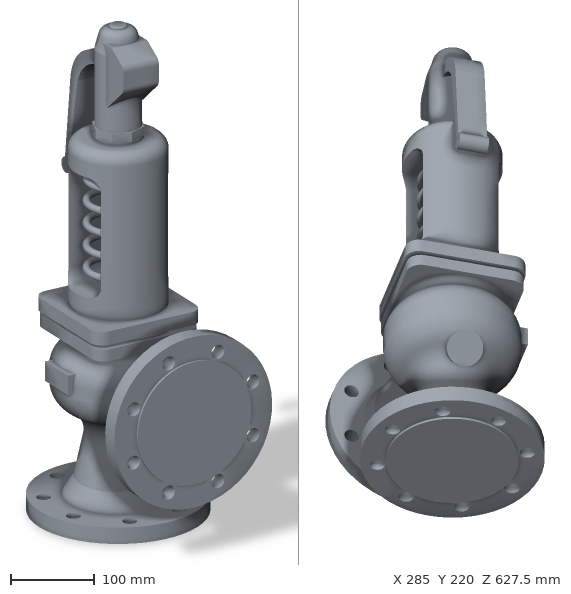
import cadquery as cq
import math


FLANGE_DIA = 220.0
FLANGE_THICKNESS = 21.0
RAISED_FACE_DIA = 158.0
RAISED_FACE_HEIGHT = 3.0
BOLT_CIRCLE_DIA = 180.0
BOLT_HOLE_DIA = 18.0
BOLT_COUNT = 8
FLANGE_HEIGHT = RAISED_FACE_HEIGHT + FLANGE_THICKNESS
HUB_RADIUS = 68.0

INLET_FLARE_Z = 47.0
INLET_FLARE_RADIUS = 53.5
INLET_THROAT_Z = 100.0
INLET_THROAT_RADIUS = 42.0
INLET_TAPER = (INLET_FLARE_RADIUS - INLET_THROAT_RADIUS) / (INLET_THROAT_Z - INLET_FLARE_Z)

OUTLET_AXIS_Z = 175.0
OUTLET_FACE_X = 175.0
OUTLET_FLARE_X = 133.0
OUTLET_FLARE_RADIUS = 60.0
OUTLET_TAPER = 0.185

BOWL_RADIUS = 82.5
BOWL_BAND_BOTTOM_Z = 171.0
BOWL_BAND_TOP_Z = 188.0
BOWL_LOWER_ARC = 40.0
BOWL_UPPER_ARC = 35.0
NECK_RADIUS = 63.5
NECK_BOTTOM_Z = 223.0
NECK_TOP_Z = 226.6
NECK_TOP_ARC = 5.0

PAD_WIDTH = 53.0
PAD_HEIGHT = 25.0
PAD_CENTER_Z = 189.5
PAD_FACE_Y = -86.0
DRAIN_DIA = 44.0
DRAIN_CENTER_X = -58.0
DRAIN_CENTER_Z = 128.0
DRAIN_TILT = math.radians(48.0)
DRAIN_LENGTH = 40.0

BODY_PLATE_X = 148.0
BODY_PLATE_Y = 144.0
BONNET_PLATE_SIDE = 148.0
PLATE_CORNER_RADIUS = 17.5
BODY_PLATE_BOTTOM_Z = NECK_TOP_Z + NECK_TOP_ARC
BODY_PLATE_TOP_Z = 247.0
JOINT_FACE_Z = 250.0
JOINT_FACE_RADIUS = 71.0
BONNET_PLATE_BOTTOM_Z = 252.5
BONNET_PLATE_TOP_Z = 270.0
JOINT_SPIGOT_RADIUS = 68.0

BONNET_RADIUS = 60.0
BONNET_TOP_Z = 483.5
BONNET_TOP_FILLET = 15.0
WINDOW_WIDTH = 75.5
WINDOW_BOTTOM_Z = 294.0
WINDOW_TOP_Z = 449.0
WINDOW_CORNER_RADIUS = 16.0
COIL_COUNT = 5
COIL_PITCH = 28.8
COIL_BOTTOM_Z = 314.0
COIL_RADIUS = 38.0
COIL_WIRE_DIA = 9.0

NUT_SIDES = 8
NUT_CORNER_DIA = 64.0
NUT_BOTTOM_Z = 487.0
NUT_TOP_Z = 499.0
NUT_WASHER_RADIUS = 30.5

CAP_RADIUS = 28.5
CAP_CYLINDER_TOP_Z = 597.0
CAP_CONE_TOP_Z = 616.0
CAP_CONE_TOP_RADIUS = 23.5
CAP_SHOULDER_Z = 624.5
CAP_SHOULDER_RADIUS = 13.5
CAP_BUTTON_RADIUS = 11.0
CAP_BUTTON_CHAMFER = 1.5
TOTAL_HEIGHT = 627.5

LUG_WIDTH = 49.5
LUG_INNER_X = 14.0
LUG_OUTER_X = 52.5
LUG_CREST_X = 26.4
LUG_TOP_Z = 610.3
LUG_UPPER_CORNER_Z = 594.0
LUG_LOWER_CORNER_Z = 563.0
LUG_BOTTOM_Z = 528.8
LUG_CORNER_RADIUS = 10.0

LEVER_WIDTH = 36.0
LEVER_ROOT_X = -22.0
LEVER_ROOT_TOP_Z = 587.5
LEVER_ROOT_BOTTOM_Z = 571.3
LEVER_OUTER_ARC_MID = (-60.5, 572.0)
LEVER_OUTER_ARC_END = (-80.0, 536.0)
LEVER_INNER_ARC_MID = (-47.3, 559.6)
LEVER_INNER_ARC_END = (-63.5, 536.0)
LEVER_TIP_OUTER = (-92.8, 425.5)
LEVER_TIP_INNER = (-85.0, 422.5)
KNOB_CENTER = (-91.0, 418.0)
KNOB_RADIUS = 10.0
KNOB_FILLET = 5.0


def disc(radius, bottom_z, top_z):
    """Round disc on the Z axis between two heights."""
    return cq.Workplane("XY").workplane(offset=bottom_z).circle(radius).extrude(top_z - bottom_z)


def bolt_holes():
    """Bolt hole cylinders straddling the flange axes, standing on the XY plane."""
    first_angle = 180.0 / BOLT_COUNT
    return (
        cq.Workplane("XY")
        .polarArray(BOLT_CIRCLE_DIA / 2, first_angle, 360, BOLT_COUNT)
        .circle(BOLT_HOLE_DIA / 2)
        .extrude(FLANGE_HEIGHT)
    )


def flange():
    """Flange with its raised face on the XY plane and its back facing +Z."""
    raised_face = disc(RAISED_FACE_DIA / 2, 0, RAISED_FACE_HEIGHT)
    plate = disc(FLANGE_DIA / 2, RAISED_FACE_HEIGHT, FLANGE_HEIGHT)
    return raised_face.union(plate).cut(bolt_holes())


def waist_arc():
    """Centre and radius of the waist arc that touches the inlet cone and the lower bowl arc."""
    slope = math.atan(INLET_TAPER)
    normal_r = math.cos(slope)
    normal_z = math.sin(slope)
    bowl_center_r = BOWL_RADIUS - BOWL_LOWER_ARC
    offset_r = INLET_THROAT_RADIUS - bowl_center_r
    offset_z = INLET_THROAT_Z - BOWL_BAND_BOTTOM_Z
    gap = offset_r**2 + offset_z**2 - BOWL_LOWER_ARC**2
    radius = gap / (2 * (BOWL_LOWER_ARC - offset_r * normal_r - offset_z * normal_z))
    center = (INLET_THROAT_RADIUS + radius * normal_r, INLET_THROAT_Z + radius * normal_z)
    return center, radius


def body():
    """Inlet cone, waist, bulging bowl and short neck, revolved about Z."""
    waist_center, waist_radius = waist_arc()
    bowl_center_r = BOWL_RADIUS - BOWL_LOWER_ARC
    share = BOWL_LOWER_ARC / (BOWL_LOWER_ARC + waist_radius)
    lower_joint = (
        bowl_center_r + share * (waist_center[0] - bowl_center_r),
        BOWL_BAND_BOTTOM_Z + share * (waist_center[1] - BOWL_BAND_BOTTOM_Z),
    )

    upper_center_r = BOWL_RADIUS - BOWL_UPPER_ARC
    rise = NECK_BOTTOM_Z - BOWL_BAND_TOP_Z
    reach = NECK_RADIUS - upper_center_r
    neck_fillet = (reach**2 + rise**2 - BOWL_UPPER_ARC**2) / (2 * (BOWL_UPPER_ARC - reach))
    share = BOWL_UPPER_ARC / (BOWL_UPPER_ARC + neck_fillet)
    upper_joint = (
        upper_center_r + share * (reach + neck_fillet),
        BOWL_BAND_TOP_Z + share * rise,
    )

    profile = (
        cq.Workplane("XZ")
        .moveTo(INLET_FLARE_RADIUS, INLET_FLARE_Z)
        .lineTo(INLET_THROAT_RADIUS, INLET_THROAT_Z)
        .tangentArcPoint(lower_joint, relative=False)
        .tangentArcPoint((BOWL_RADIUS, BOWL_BAND_BOTTOM_Z), relative=False)
        .lineTo(BOWL_RADIUS, BOWL_BAND_TOP_Z)
        .tangentArcPoint(upper_joint, relative=False)
        .tangentArcPoint((NECK_RADIUS, NECK_BOTTOM_Z), relative=False)
        .lineTo(NECK_RADIUS, NECK_TOP_Z)
        .tangentArcPoint((NECK_RADIUS + NECK_TOP_ARC, BODY_PLATE_BOTTOM_Z), relative=False)
        .lineTo(0, BODY_PLATE_BOTTOM_Z)
        .lineTo(0, INLET_FLARE_Z)
        .close()
    )
    return profile.revolve(360, (0, 0, 0), (0, 1, 0))


def nozzle_cones(start_radius, start_height, end_height, taper):
    """Cone of the given taper about Z, followed by a steeper cone that spreads to the hub."""
    return (
        cq.Workplane("XZ")
        .moveTo(start_radius - taper * start_height, 0)
        .lineTo(start_radius, start_height)
        .lineTo(HUB_RADIUS, end_height)
        .lineTo(0, end_height)
        .lineTo(0, 0)
        .close()
        .revolve(360, (0, 0, 0), (0, 1, 0))
    )


def inlet():
    """Inlet cones and flange; the cones are built from the throat down and turned over."""
    cones = nozzle_cones(
        INLET_FLARE_RADIUS,
        INLET_THROAT_Z - INLET_FLARE_Z,
        INLET_THROAT_Z - FLANGE_HEIGHT,
        INLET_TAPER,
    )
    cones = cones.rotate((0, 0, 0), (1, 0, 0), 180).translate((0, 0, INLET_THROAT_Z))
    return cones.union(flange())


def outlet():
    """Outlet cones and flange, built along Z and turned onto +X."""
    cones = nozzle_cones(
        OUTLET_FLARE_RADIUS, OUTLET_FLARE_X, OUTLET_FACE_X - FLANGE_HEIGHT, OUTLET_TAPER
    )
    outlet_flange = flange().rotate((0, 0, 0), (1, 0, 0), 180).translate((0, 0, OUTLET_FACE_X))
    branch = cones.union(outlet_flange)
    return branch.rotate((0, 0, 0), (0, 1, 0), 90).translate((0, 0, OUTLET_AXIS_Z))


def name_pad():
    """Flat rectangular pad on the -Y side of the bowl, rooted at the valve axis."""
    pad = cq.Workplane("XY").box(PAD_WIDTH, -PAD_FACE_Y, PAD_HEIGHT)
    return pad.translate((0, PAD_FACE_Y / 2, PAD_CENTER_Z))


def drain_boss():
    """Tilted round boss where the bowl meets the waist on the -X side."""
    inward = cq.Vector(math.sin(DRAIN_TILT), 0, math.cos(DRAIN_TILT))
    face_center = cq.Vector(DRAIN_CENTER_X, 0, DRAIN_CENTER_Z)
    return cq.Workplane(cq.Solid.makeCylinder(DRAIN_DIA / 2, DRAIN_LENGTH, face_center, inward))


def square_plate(size_x, size_y, bottom_z, top_z):
    """Rectangular plate with rounded corners between two heights."""
    return (
        cq.Workplane("XY")
        .workplane(offset=bottom_z)
        .rect(size_x, size_y)
        .extrude(top_z - bottom_z)
        .edges("|Z")
        .fillet(PLATE_CORNER_RADIUS)
    )


def joint():
    """Two square plates with a round joint face and spigot between them."""
    body_plate = square_plate(BODY_PLATE_X, BODY_PLATE_Y, BODY_PLATE_BOTTOM_Z, BODY_PLATE_TOP_Z)
    bonnet_plate = square_plate(
        BONNET_PLATE_SIDE, BONNET_PLATE_SIDE, BONNET_PLATE_BOTTOM_Z, BONNET_PLATE_TOP_Z
    )
    face = disc(JOINT_FACE_RADIUS, BODY_PLATE_TOP_Z, JOINT_FACE_Z)
    spigot = disc(JOINT_SPIGOT_RADIUS, JOINT_FACE_Z, BONNET_PLATE_BOTTOM_Z)
    return body_plate.union(face).union(spigot).union(bonnet_plate)


def bonnet():
    """Bonnet with a round-cornered window through it along Y."""
    shell = disc(BONNET_RADIUS, BONNET_PLATE_TOP_Z, BONNET_TOP_Z)
    shell = shell.faces(">Z").edges().fillet(BONNET_TOP_FILLET)
    window = (
        cq.Workplane("XY")
        .box(WINDOW_WIDTH, 2 * BONNET_RADIUS, WINDOW_TOP_Z - WINDOW_BOTTOM_Z)
        .edges("|Y")
        .fillet(WINDOW_CORNER_RADIUS)
        .translate((0, 0, (WINDOW_TOP_Z + WINDOW_BOTTOM_Z) / 2))
    )
    return shell.cut(window)


def spring_coils():
    """Level spring coils whose sides run into the window walls."""
    coils = cq.Workplane("XY")
    for index in range(COIL_COUNT):
        level = cq.Vector(0, 0, COIL_BOTTOM_Z + index * COIL_PITCH)
        coils = coils.add(cq.Solid.makeTorus(COIL_RADIUS, COIL_WIRE_DIA / 2, level))
    return coils


def lock_nut():
    """Octagonal nut on a thin round washer."""
    washer = disc(NUT_WASHER_RADIUS, BONNET_TOP_Z, NUT_BOTTOM_Z)
    nut = (
        cq.Workplane("XY")
        .workplane(offset=NUT_BOTTOM_Z)
        .polygon(NUT_SIDES, NUT_CORNER_DIA)
        .extrude(NUT_TOP_Z - NUT_BOTTOM_Z)
    )
    return washer.union(nut)


def cap():
    """Cylindrical cap with a tapered, rounded top and a small button."""
    rounded = (
        cq.Workplane("XZ")
        .moveTo(0, NUT_TOP_Z)
        .lineTo(CAP_RADIUS, NUT_TOP_Z)
        .lineTo(CAP_RADIUS, CAP_CYLINDER_TOP_Z)
        .lineTo(CAP_CONE_TOP_RADIUS, CAP_CONE_TOP_Z)
        .tangentArcPoint((CAP_SHOULDER_RADIUS, CAP_SHOULDER_Z), relative=False)
        .lineTo(0, CAP_SHOULDER_Z)
        .close()
        .revolve(360, (0, 0, 0), (0, 1, 0))
    )
    button = disc(CAP_BUTTON_RADIUS, CAP_SHOULDER_Z, TOTAL_HEIGHT)
    button = button.faces(">Z").chamfer(CAP_BUTTON_CHAMFER)
    return rounded.union(button)


def fork_lug():
    """Lug with a sloped top and bottom and rounded outer corners."""
    lug = (
        cq.Workplane("XZ")
        .moveTo(0, LUG_TOP_Z)
        .lineTo(LUG_CREST_X, LUG_TOP_Z)
        .lineTo(LUG_OUTER_X, LUG_UPPER_CORNER_Z)
        .lineTo(LUG_OUTER_X, LUG_LOWER_CORNER_Z)
        .lineTo(LUG_INNER_X, LUG_BOTTOM_Z)
        .lineTo(0, LUG_BOTTOM_Z)
        .close()
        .extrude(LUG_WIDTH / 2, both=True)
    )
    return lug.edges("|Y").edges(">X").fillet(LUG_CORNER_RADIUS)


def lever():
    """Curved tapering arm that ends in a round knob."""
    arm = (
        cq.Workplane("XZ")
        .moveTo(0, LEVER_ROOT_TOP_Z)
        .lineTo(LEVER_ROOT_X, LEVER_ROOT_TOP_Z)
        .threePointArc(LEVER_OUTER_ARC_MID, LEVER_OUTER_ARC_END)
        .lineTo(*LEVER_TIP_OUTER)
        .lineTo(*KNOB_CENTER)
        .lineTo(*LEVER_TIP_INNER)
        .lineTo(*LEVER_INNER_ARC_END)
        .threePointArc(LEVER_INNER_ARC_MID, (LEVER_ROOT_X, LEVER_ROOT_BOTTOM_Z))
        .lineTo(0, LEVER_ROOT_BOTTOM_Z)
        .close()
        .extrude(LEVER_WIDTH / 2, both=True)
    )
    knob = (
        cq.Workplane("XZ")
        .center(*KNOB_CENTER)
        .circle(KNOB_RADIUS)
        .extrude(LEVER_WIDTH / 2, both=True)
    )
    blended = arm.union(knob)
    roots = cq.selectors.BoxSelector(
        (KNOB_CENTER[0] - KNOB_RADIUS, -LEVER_WIDTH, KNOB_CENTER[1]),
        (KNOB_CENTER[0] + KNOB_RADIUS, LEVER_WIDTH, KNOB_CENTER[1] + KNOB_RADIUS),
    )
    return blended.edges("|Y").edges(roots).fillet(KNOB_FILLET)


features = [
    inlet(),
    outlet(),
    name_pad(),
    drain_boss(),
    joint(),
    bonnet(),
    spring_coils(),
    lock_nut(),
    cap(),
    fork_lug(),
    lever(),
]
result = body()
for feature in features:
    result = result.union(feature)